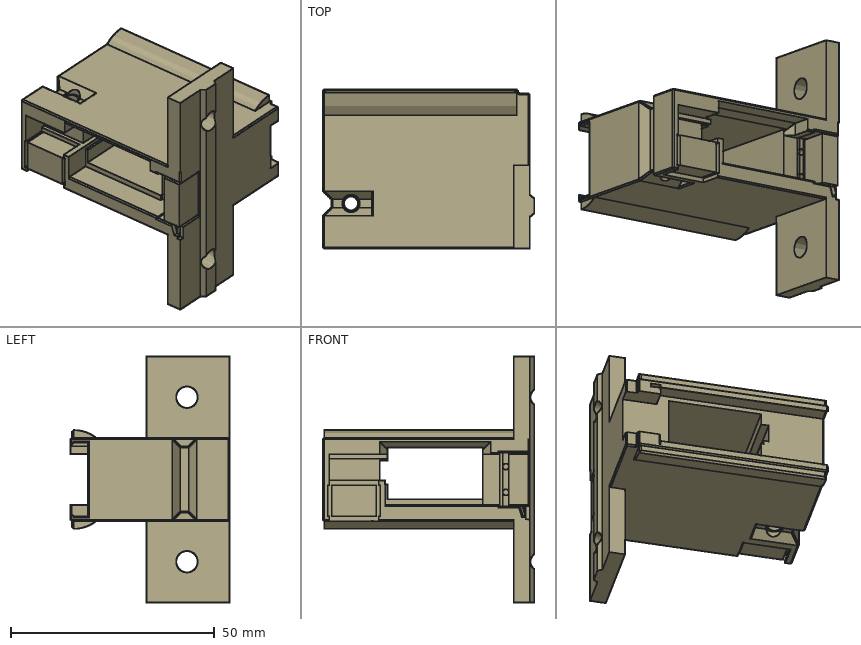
import cadquery as cq
import math

body_length = 50.8
body_width = 39.0
body_half_height = 10.2
edge_chamfer = 0.35
rear_step_x = 47.9
rear_step_width = 38.05

flange_thickness = 4.0
flange_width = 20.4
flange_half_height = 30.2
ridge_height = 1.1
ridge_base_width = 5.45
ridge_top_width = 3.7
flange_hole_diameter = 5.2
flange_hole_y = 10.45
flange_hole_z = 20.2

rail_start_x = 0.35
rail_end_x = 47.55
rail_foot_y = 32.7
rail_rise = 1.95
rail_end_y = 38.65
rail_chamfer = 0.5

groove_y = 11.05
groove_mouth_width = 6.1
groove_depth = 2.05
groove_length = 12.4
cord_hole_x = 6.95
cord_hole_diameter = 3.4
counterbore_diameter = 4.3
counterbore_depth = 0.4

window_x0 = 15.95
window_x1 = 39.2
window_bottom = -4.85
window_top = 7.8
window_bevel = 2.0
bevel_mouth_top = 9.25
side_window_x0 = 14.0
side_window_top = 4.65
sill_z = -1.2
sill_depth = 6.45

recess_depth = 7.05
recess_x0 = 1.65
recess_x1 = 43.4
recess_half_height = 6.2
ledge_z = -0.25
post_x0 = 13.7
post_x1 = 15.3
rib_bottom = 5.1

slot_depth = 6.05
side_clearance = 0.35
button_x0 = 2.2
button_x1 = 13.15
button_bottom = -9.05
button_top = -1.4

channel_half_height = 6.6
channel_depth = 7.3
groove_strip_x0 = 44.15
block_x0 = 45.65
block_x1 = body_length - edge_chamfer
groove_strip_depth = 7.75
pin_hole_diameter = 1.5
pin_hole_depth = 1.8
pin_hole_z = 3.15

wire_depth = 1.2
wire_draft = 15
wire_top = -6.05
wire_top_x = 47.85
wire_bottom_x = 48.85
wire_width = 1.25
wire_bottom = -9.25
wire_notch_x = 49.8
wire_notch_bottom = -9.8

rear_y = 34.7
rear_half_height = 9.05
lip_size = 0.85
stop_x = 42.3
stop_step_x = 44.7
stop_step_z = 8.1

margin = 0.6


def box(x0, x1, y0, y1, z0, z1):
    return cq.Workplane("XY").box(x1 - x0, y1 - y0, z1 - z0, centered=False).translate((x0, y0, z0))


def prism_along_x(points, x0, x1):
    """Extrude a closed (Y, Z) outline from x0 to x1."""
    return cq.Workplane("YZ", origin=(x0, 0, 0)).polyline(points).close().extrude(x1 - x0)


def prism_along_y(points, y0, y1):
    """Extrude a closed (X, Z) outline from y0 to y1."""
    return cq.Workplane("XZ", origin=(0, y0, 0)).polyline(points).close().extrude(y0 - y1)


def mirrored_in_z(shape):
    return shape.mirror("XY")


def body_block():
    outline = [
        (0, 0),
        (body_length, 0),
        (body_length, rear_step_width),
        (rear_step_x, rear_step_width),
        (rear_step_x, body_width),
        (0, body_width),
    ]
    block = cq.Workplane("XY", origin=(0, 0, -body_half_height)).polyline(outline).close()
    return block.extrude(2 * body_half_height).chamfer(edge_chamfer)


def flange_plate():
    """Upper flange plate; it reaches just past the chamfer of the body."""
    return box(body_length - flange_thickness, body_length, 0, flange_width,
               body_half_height - edge_chamfer, flange_half_height)


def back_ridge():
    outline = [
        (body_length - margin, flange_hole_y - ridge_base_width / 2),
        (body_length, flange_hole_y - ridge_base_width / 2),
        (body_length + ridge_height, flange_hole_y - ridge_top_width / 2),
        (body_length + ridge_height, flange_hole_y + ridge_top_width / 2),
        (body_length, flange_hole_y + ridge_base_width / 2),
        (body_length - margin, flange_hole_y + ridge_base_width / 2),
    ]
    ridge = cq.Workplane("XY", origin=(0, 0, -flange_half_height)).polyline(outline).close()
    return ridge.extrude(2 * flange_half_height)


def flange_holes():
    length = flange_thickness + ridge_height + 2 * margin
    start = body_length - flange_thickness - margin
    centres = [(flange_hole_y, flange_hole_z), (flange_hole_y, -flange_hole_z)]
    plane = cq.Workplane("YZ", origin=(start, 0, 0)).pushPoints(centres)
    return plane.circle(flange_hole_diameter / 2).extrude(length)


def grip_rail():
    """Rail whose arc leaves the crest level and falls to its foot on the top face."""
    foot = body_half_height
    crest = foot + rail_rise
    sunk = foot - edge_chamfer
    crest_y = rail_end_y - rail_chamfer
    run = crest_y - rail_foot_y
    radius = (run**2 + rail_rise**2) / (2 * rail_rise)
    mid_z = crest - radius + math.sqrt(radius**2 - (run / 2) ** 2)
    profile = (
        cq.Workplane("YZ", origin=(rail_start_x, 0, 0))
        .moveTo(rail_foot_y, sunk)
        .lineTo(rail_end_y, sunk)
        .lineTo(rail_end_y, crest - rail_chamfer)
        .lineTo(crest_y, crest)
        .threePointArc((rail_foot_y + run / 2, mid_z), (rail_foot_y, foot))
        .close()
    )
    rail = profile.extrude(rail_end_x - rail_start_x)
    return rail.edges("|Z and >Y").chamfer(rail_chamfer)


def groove_outline(mouth, floor):
    """Trapezoid with 45 degree flanks between the mouth and floor levels."""
    half_mouth = groove_mouth_width / 2
    half_floor = half_mouth - groove_depth
    return [
        (groove_y - half_mouth, mouth),
        (groove_y - half_floor, floor),
        (groove_y + half_floor, floor),
        (groove_y + half_mouth, mouth),
    ]


def groove_end():
    """Run of the groove down the -X face."""
    points = [(depth, y) for y, depth in groove_outline(0, groove_depth)]
    run = cq.Workplane("XY", origin=(0, 0, -body_half_height)).polyline(points).close()
    return run.extrude(2 * body_half_height)


def groove_top():
    """Run of the groove along the top face, with its chamfered far edge."""
    floor = body_half_height - groove_depth
    run = prism_along_x(groove_outline(body_half_height, floor), 0, groove_length - edge_chamfer)
    half_mouth = groove_mouth_width / 2
    far_edge = [
        (groove_length - edge_chamfer, body_half_height - edge_chamfer),
        (groove_length, body_half_height),
        (groove_length - edge_chamfer, body_half_height),
    ]
    return run.union(prism_along_y(far_edge, groove_y - half_mouth, groove_y + half_mouth))


def groove_corner():
    """Keeps the body's edge chamfer where the groove turns over the top edge."""
    corner = cq.Plane(origin=(0, 0, body_half_height), xDir=(0, 1, 0), normal=(1, 0, 1))
    facet_depth = edge_chamfer / math.sqrt(2)
    outline = groove_outline(-facet_depth, -facet_depth - groove_depth * math.sqrt(2))
    return cq.Workplane(corner).polyline(outline).close().extrude(facet_depth, both=True)


def cord_hole():
    """Hole along Z, counterbored from the groove floor at both ends."""
    seat = body_half_height - groove_depth - counterbore_depth
    centre = cq.Workplane("XY").center(cord_hole_x, groove_y)
    hole = centre.circle(cord_hole_diameter / 2).extrude(seat, both=True)
    counterbore = centre.workplane(offset=seat).circle(counterbore_diameter / 2).extrude(
        groove_depth + counterbore_depth)
    return hole.union(counterbore).union(mirrored_in_z(counterbore))


def window():
    main = box(window_x0, window_x1, 0, body_width, window_bottom, window_top)
    side = box(side_window_x0, window_x0, 0, body_width, ledge_z, side_window_top)
    above_sill = box(post_x1, window_x0, 0, body_width, sill_z, ledge_z)
    mouth_x0 = window_x0 - window_bevel
    mouth_x1 = window_x1 + window_bevel
    bevel_start = recess_depth - window_bevel
    straight_mouth = box(mouth_x0, mouth_x1, 0, bevel_start, 0, bevel_mouth_top)
    bevelled_mouth = (
        cq.Workplane("XZ", origin=(0, bevel_start, 0))
        .center((mouth_x0 + mouth_x1) / 2, bevel_mouth_top / 2)
        .rect(mouth_x1 - mouth_x0, bevel_mouth_top)
        .extrude(-window_bevel, taper=45)
    )
    below_mouth = box(mouth_x0, mouth_x1, 0, recess_depth, 0, recess_half_height)
    bevelled_mouth = bevelled_mouth.cut(below_mouth)
    return main.union(side).union(above_sill).union(straight_mouth).union(bevelled_mouth)


def front_recess():
    upper = box(recess_x0, recess_x1, 0, recess_depth, ledge_z, recess_half_height)
    lower = box(post_x1, recess_x1, 0, recess_depth, -recess_half_height, ledge_z)
    rib = box(recess_x0, window_x0, slot_depth, recess_depth, rib_bottom, recess_half_height)
    sill = box(post_x1, window_x1, sill_depth, recess_depth, -recess_half_height, sill_z)
    recess = upper.union(lower).cut(rib).cut(sill)
    return recess.union(mouth_chamfer(post_x1, recess_x1, -recess_half_height)).union(
        mouth_chamfer(window_x1 + window_bevel, recess_x1, recess_half_height))


def mouth_chamfer(x0, x1, edge_z):
    """Chamfer along the -Y edge of a pocket wall at height edge_z, sloping away from Z = 0."""
    outer_z = edge_z + math.copysign(edge_chamfer, edge_z)
    return prism_along_x([(0, edge_z), (0, outer_z), (edge_chamfer, edge_z)], x0, x1)


def button_slot():
    slot = box(recess_x0, post_x0, 0, slot_depth, -body_half_height, ledge_z)
    clearance = box(recess_x0 - side_clearance, post_x0 + side_clearance, 0, slot_depth,
                    button_bottom, button_top)
    return slot.union(clearance)


def block_channel():
    channel = box(recess_x1, body_length, 0, channel_depth, -channel_half_height, channel_half_height)
    strip = box(groove_strip_x0, block_x0, 0, groove_strip_depth,
                -channel_half_height, channel_half_height)
    mouth_start = recess_x1 - edge_chamfer
    upper_mouth = mouth_chamfer(mouth_start, body_length, channel_half_height)
    lower_mouth = mouth_chamfer(mouth_start, wire_top_x, -channel_half_height)
    return channel.union(strip).union(upper_mouth).union(lower_mouth)


def pin_holes():
    centres = [((groove_strip_x0 + block_x0) / 2, z) for z in (-pin_hole_z, pin_hole_z)]
    plane = cq.Workplane("XZ", origin=(0, groove_strip_depth, 0)).pushPoints(centres)
    return plane.circle(pin_hole_diameter / 2).extrude(-pin_hole_depth)


def wire_exit():
    """Slanted run with drafted walls, from the block channel down to a notch in the back edge."""
    slant = [
        (wire_top_x, wire_top),
        (wire_top_x + wire_width, wire_top),
        (wire_bottom_x + wire_width, wire_bottom),
        (wire_bottom_x, wire_bottom),
    ]
    run = cq.Workplane("XZ").polyline(slant).close().extrude(-wire_depth, taper=wire_draft)
    notch = box(wire_notch_x, body_length, 0, wire_depth, wire_notch_bottom, -channel_half_height)
    return run.union(notch)


def rear_opening():
    """Opening between the two plates, with stop blocks left at its +X end."""
    z = rear_half_height
    wide = box(0, stop_x, rear_y, body_width, -z, z)
    upper_step = box(stop_x, stop_step_x, rear_y, body_width, stop_step_z, z)
    passage = box(stop_x, body_length, rear_y, body_width, -recess_half_height, recess_half_height)
    mouth_outline = [
        (rear_y - edge_chamfer, -z - edge_chamfer),
        (body_width - lip_size, -z - edge_chamfer),
        (body_width - lip_size, z + edge_chamfer),
        (rear_y - edge_chamfer, z + edge_chamfer),
    ]
    mouth = (
        cq.Workplane("YZ").polyline(mouth_outline).close().extrude(edge_chamfer, taper=45)
    )
    stop_corner = [
        (stop_x, body_width - edge_chamfer),
        (stop_x + edge_chamfer, body_width),
        (stop_x, body_width),
    ]
    stop_chamfer = cq.Workplane("XY", origin=(0, 0, -z)).polyline(stop_corner).close()
    stop_chamfer = stop_chamfer.extrude(z - recess_half_height)
    opening = wide.union(stop_chamfer).union(upper_step).union(passage).union(mouth)
    lip = prism_along_x(
        [(body_width - lip_size, z), (body_width, z - lip_size), (body_width, z)],
        0, stop_x,
    )
    return opening.cut(lip).cut(mirrored_in_z(lip))


def make_housing():
    housing = body_block().union(back_ridge())
    for added in (flange_plate(), grip_rail()):
        housing = housing.union(added).union(mirrored_in_z(added))
    housing = housing.cut(flange_holes()).cut(groove_end())
    for groove in (groove_top(), groove_corner()):
        housing = housing.cut(groove).cut(mirrored_in_z(groove))
    pockets = (
        cord_hole(), window(), front_recess(), button_slot(),
        block_channel(), pin_holes(), wire_exit(), rear_opening(),
    )
    for pocket in pockets:
        housing = housing.cut(pocket)
    return housing


def make_button():
    return box(button_x0, button_x1, 0, slot_depth, button_bottom, button_top)


def make_end_block():
    return box(block_x0, block_x1, 0, channel_depth, -recess_half_height, recess_half_height)


housing = make_housing()
button = make_button()
end_block = make_end_block()

result = cq.Compound.makeCompound([housing.solids().val(), button.val(), end_block.val()])